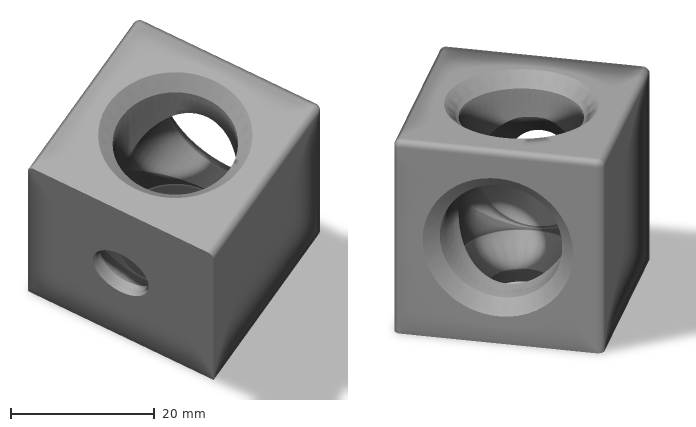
import cadquery as cq

side = 30.0
half = side / 2
edge_radius = 1.0

mouth_diameter = 21.5
bore_diameter = 17.5
cone_diameter = 17.0
hole_diameter = 9.0
bore_depth = 24.0

mouth_radius = mouth_diameter / 2
bore_radius = bore_diameter / 2
cone_radius = cone_diameter / 2
hole_radius = hole_diameter / 2
mouth_depth = mouth_radius - bore_radius
cone_depth = cone_radius - hole_radius


def make_block():
    """Cube with rounded side edges on the top and back, and a rounded top-back edge."""
    block = cq.Workplane("XY").box(side, side, side)
    top_edges = block.faces(">Z").edges("not <Y")
    back_side_edges = block.faces(">Y").edges("|Z")
    return block.newObject(top_edges.vals() + back_side_edges.vals()).fillet(edge_radius)


def make_port():
    """Port cutter opening at the top: countersink, bore, narrow ledge, cone and through hole."""
    bore_floor = half - bore_depth
    return (
        cq.Workplane("XZ")
        .moveTo(0, half)
        .lineTo(mouth_radius, half)
        .lineTo(bore_radius, half - mouth_depth)
        .lineTo(bore_radius, bore_floor)
        .lineTo(cone_radius, bore_floor)
        .lineTo(hole_radius, bore_floor - cone_depth)
        .lineTo(hole_radius, -half)
        .lineTo(0, -half)
        .close()
        .revolve(360, (0, 0, 0), (0, 1, 0))
    )


top_port = make_port()
back_port = top_port.rotate((0, 0, 0), (1, 0, 0), -90)

result = make_block().cut(top_port).cut(back_port)